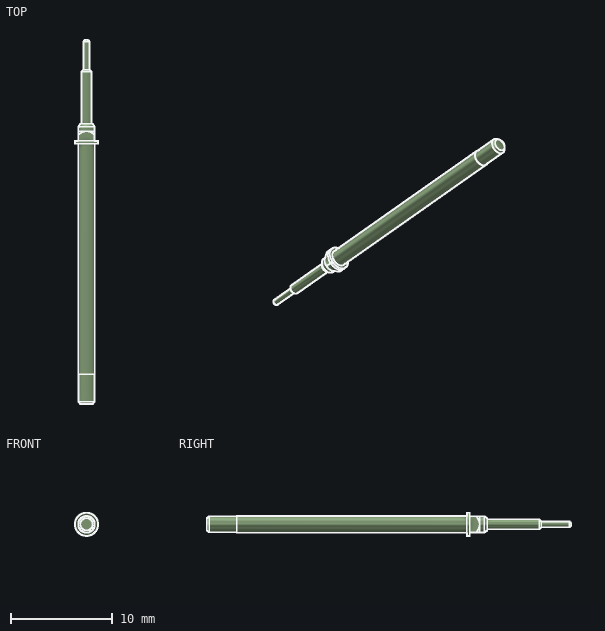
import cadquery as cq
import math


overall_length = 35.8
nose_length = 10.25
tip_y = nose_length
rear_y = nose_length - overall_length

barrel_radius = 0.83
tail_radius = 0.8
tail_length = 2.95
tail_chamfer_length = 0.25
tail_chamfer_depth = 0.2

collar_radius = 1.15
collar_thickness = 0.3
square_width = 1.62
square_length = 0.95
lead_in_angle = 45.0

shoulder_radius = square_width / 2
shoulder_length = 0.45
shoulder_chamfer_length = 0.3
shoulder_front_radius = 0.61

contact_radius = 0.3
contact_length = 2.95
dome_height = 0.22

plunger_radius = 0.5
plunger_front_y = tip_y - contact_length
plunger_chamfer_length = 0.2


def revolve_profile(points):
    """Turn a closed (radius, y) outline about the Y axis."""
    return cq.Workplane("XY").polyline(points).close().revolve(360, (0, 0, 0), (0, 1, 0))


def make_barrel():
    """Barrel with its chamfered, reduced tail and the collar at its front."""
    tail_front_y = rear_y + tail_length
    return revolve_profile([
        (0, rear_y),
        (tail_radius - tail_chamfer_depth, rear_y),
        (tail_radius, rear_y + tail_chamfer_length),
        (tail_radius, tail_front_y),
        (barrel_radius, tail_front_y),
        (barrel_radius, 0),
        (collar_radius, 0),
        (collar_radius, collar_thickness),
        (0, collar_thickness),
    ])


def make_square_key():
    """Square block whose front corners are cut back by a cone."""
    front_y = collar_thickness + square_length
    cone_length = (collar_radius - shoulder_radius) / math.tan(math.radians(lead_in_angle))
    block = cq.Workplane("XY").box(square_width, square_length, square_width)
    block = block.translate((0, collar_thickness + square_length / 2, 0))
    envelope = revolve_profile([
        (0, collar_thickness),
        (collar_radius, collar_thickness),
        (collar_radius, front_y - cone_length),
        (shoulder_radius, front_y),
        (0, front_y),
    ])
    return block.intersect(envelope)


def make_nose():
    """Shoulder, plunger and contact turned as one stepped shaft with a domed tip."""
    shoulder_rear_y = collar_thickness + square_length
    shoulder_edge_y = shoulder_rear_y + shoulder_length
    shoulder_front_y = shoulder_edge_y + shoulder_chamfer_length
    dome_start_y = tip_y - dome_height
    dome_radius = (contact_radius**2 + dome_height**2) / (2 * dome_height)
    dome_mid_radius = contact_radius / 2
    dome_mid_y = tip_y - dome_radius + math.sqrt(dome_radius**2 - dome_mid_radius**2)
    outline = (
        cq.Workplane("XY")
        .moveTo(0, shoulder_rear_y)
        .lineTo(shoulder_radius, shoulder_rear_y)
        .lineTo(shoulder_radius, shoulder_edge_y)
        .lineTo(shoulder_front_radius, shoulder_front_y)
        .lineTo(plunger_radius, shoulder_front_y)
        .lineTo(plunger_radius, plunger_front_y - plunger_chamfer_length)
        .lineTo(contact_radius, plunger_front_y)
        .lineTo(contact_radius, dome_start_y)
        .threePointArc((dome_mid_radius, dome_mid_y), (0, tip_y))
        .close()
    )
    return outline.revolve(360, (0, 0, 0), (0, 1, 0))


result = make_barrel().union(make_square_key()).union(make_nose())